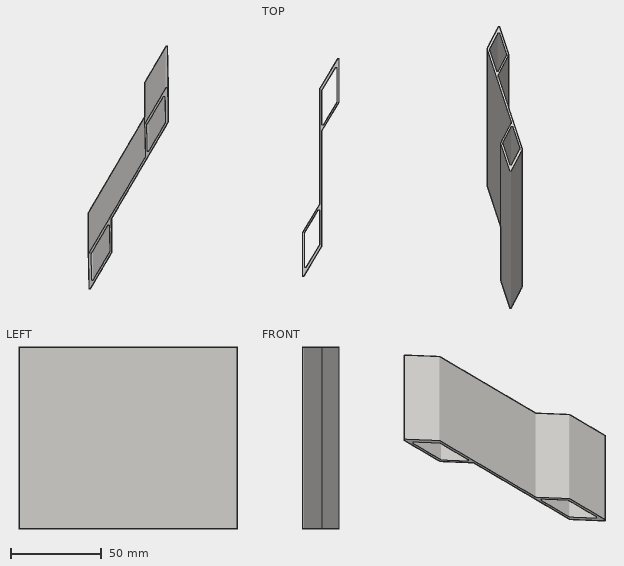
import cadquery as cq
import math

length_y = 120.0
width_x = 20.3
height_z = 100.0

wall = 1.2
outer_slant = 1.5
inner_slant = 1.02
tilt = 59.0
near_corner_y = 36.0
corner_radius = 0.5

half_web = wall / 2
outer_x = width_x / 2
rise = math.tan(math.radians(tilt))
slant_per_y = math.cos(math.radians(tilt))

half_tip_angle = math.radians(90 - tilt) / 2
tip_overshoot = corner_radius / math.tan(half_tip_angle) - corner_radius
sharp_tip_y = length_y / 2 + tip_overshoot


def outer_incline(x, inset=0.0):
    """Y of the inclined wall at the tip, moved inwards by inset."""
    return sharp_tip_y - (outer_x - x) * rise - inset / slant_per_y


def inner_incline(x, inset=0.0):
    """Y of the inclined wall at the web, moved inwards by inset."""
    return near_corner_y - (outer_x - x) * rise + inset / slant_per_y


def half_turn(points):
    """Copy points rotated by 180 degrees about Z."""
    return [(-x, -y) for x, y in points]


def rounded_prism(points):
    """Extrude a closed outline, centred on Z = 0, and round its upright edges."""
    prism = cq.Workplane("XY").polyline(points).close().extrude(height_z / 2, both=True)
    return prism.edges("|Z").fillet(corner_radius)


tube_outline = [
    (half_web, inner_incline(half_web)),
    (outer_x, near_corner_y),
    (outer_x, sharp_tip_y),
    (-half_web, outer_incline(-half_web)),
]
body = rounded_prism(tube_outline + half_turn(tube_outline))

cavity_left = half_web
cavity_right = outer_x - wall
cavity = [
    (cavity_left, inner_incline(cavity_left, inner_slant)),
    (cavity_right, inner_incline(cavity_right, inner_slant)),
    (cavity_right, outer_incline(cavity_right, outer_slant)),
    (cavity_left, outer_incline(cavity_left, outer_slant)),
]
for opening in (cavity, half_turn(cavity)):
    body = body.cut(rounded_prism(opening))

result = body